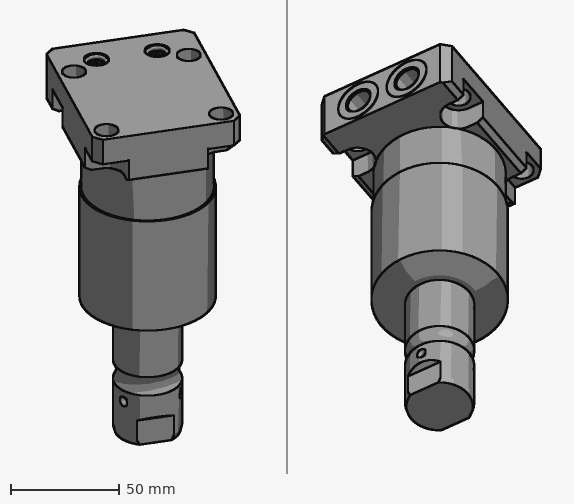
import cadquery as cq
import math

TOTAL_HEIGHT = 180.2

PLATE_LENGTH = 85.5
PLATE_WIDTH = 70.8
PLATE_THICKNESS = 25.5
CORNER_CHAMFER = 4.0
EDGE_CHAMFER_HEIGHT = 1.8
EDGE_CHAMFER_ANGLE = 30.0
PLATE_BOTTOM = TOTAL_HEIGHT - PLATE_THICKNESS
PLATE_RIGHT = PLATE_WIDTH / 2
PLATE_LEFT = PLATE_RIGHT - PLATE_LENGTH

BOLT_SPACING = 55.0
BOLT_HOLE_DIAMETER = 11.0
BOLT_OFFSET = BOLT_SPACING / 2
HEAD_CLEARANCE_RADIUS = 8.5
HEAD_CLEARANCE_DEPTH = 12.3

PORT_SPACING = 26.3
PORT_AXIS_Z = PLATE_BOTTOM + PLATE_THICKNESS / 2
PORT_DIAMETER = 12.0
PORT_DEPTH = 14.2
PORT_MOUTH_DIAMETER = 13.3
PORT_SPOTFACE_DIAMETER = 21.6
PORT_SPOTFACE_DEPTH = 0.2

FEED_SPACING = 29.2
FEED_FROM_LEFT = 14.8
FEED_HOLE_DIAMETER = 2.5
FEED_BOTTOM = 165.5
FEED_X = PLATE_LEFT + FEED_FROM_LEFT
SEAL_OUTER_RADIUS = 5.8
SEAL_SECTION_RADIUS = 1.0
SEAL_BELOW_TOP = 0.2
FEED_POCKET_RADIUS = 3.2
FEED_POCKET_DEPTH = 0.5

NECK_RADIUS = 30.6
BODY_RADIUS = 31.5
BODY_TOP = 129.8
BODY_BOTTOM = 71.2
BODY_CONE_HEIGHT = 3.5
BODY_CONE_ANGLE = 15.0
SPINDLE_RADIUS = 16.0
GROOVE_TOP = 37.0
GROOVE_BOTTOM = 27.0
GROOVE_DEPTH = 1.5
TIP_CHAMFER_HEIGHT = 2.7
TIP_CHAMFER_WIDTH = 0.7

FLAT_TO_AXIS = 13.3
FLAT_HEIGHT = 13.2
FLAT_RUNOUT_HEIGHT = 2.2
DIMPLE_DIAMETER = 5.0
DIMPLE_CONE_ANGLE = 90.0
DIMPLE_Z = 21.3
DIMPLE_COUNT = 3


def make_plate():
    """Block with four clipped corners and three chamfered lower edges."""
    plate = (
        cq.Workplane("XY", origin=((PLATE_LEFT + PLATE_RIGHT) / 2, 0, PLATE_BOTTOM))
        .rect(PLATE_LENGTH, PLATE_WIDTH)
        .extrude(PLATE_THICKNESS)
        .edges("|Z")
        .chamfer(CORNER_CHAMFER)
    )
    chamfer_width = EDGE_CHAMFER_HEIGHT / math.tan(math.radians(EDGE_CHAMFER_ANGLE))
    edge_wedge = (
        cq.Workplane("XZ", origin=(0, PLATE_LENGTH, 0))
        .moveTo(PLATE_RIGHT, PLATE_BOTTOM)
        .lineTo(PLATE_RIGHT, PLATE_BOTTOM + EDGE_CHAMFER_HEIGHT)
        .lineTo(PLATE_RIGHT - chamfer_width, PLATE_BOTTOM)
        .close()
        .extrude(2 * PLATE_LENGTH)
    )
    for turn in (-90, 0, 90):
        plate = plate.cut(edge_wedge.rotate((0, 0, 0), (0, 0, 1), turn))
    return plate


def make_body():
    """Neck, body and grooved spindle turned about the Z axis."""
    cone_bottom = BODY_BOTTOM - BODY_CONE_HEIGHT
    cone_radius = BODY_RADIUS - BODY_CONE_HEIGHT / math.tan(math.radians(BODY_CONE_ANGLE))
    groove_middle = (GROOVE_TOP + GROOVE_BOTTOM) / 2
    return (
        cq.Workplane("XZ")
        .moveTo(0, PLATE_BOTTOM)
        .lineTo(NECK_RADIUS, PLATE_BOTTOM)
        .lineTo(NECK_RADIUS, BODY_TOP)
        .lineTo(BODY_RADIUS, BODY_TOP)
        .lineTo(BODY_RADIUS, BODY_BOTTOM)
        .lineTo(cone_radius, cone_bottom)
        .lineTo(SPINDLE_RADIUS, cone_bottom)
        .lineTo(SPINDLE_RADIUS, GROOVE_TOP)
        .threePointArc((SPINDLE_RADIUS - GROOVE_DEPTH, groove_middle), (SPINDLE_RADIUS, GROOVE_BOTTOM))
        .lineTo(SPINDLE_RADIUS, TIP_CHAMFER_HEIGHT)
        .lineTo(SPINDLE_RADIUS - TIP_CHAMFER_WIDTH, 0)
        .lineTo(0, 0)
        .close()
        .revolve(360, (0, 0, 0), (0, 1, 0))
    )


def make_head_clearance(hole_x, hole_y):
    """Round-ended relief around a bolt hole, open to the nearest plate edges."""
    radius = HEAD_CLEARANCE_RADIUS
    outward = math.copysign(PLATE_WIDTH / 2, hole_y)
    inward = math.copysign(radius, -hole_y)
    lower_face = cq.Workplane("XY", origin=(hole_x, hole_y, PLATE_BOTTOM))
    relief = lower_face.circle(radius).extrude(HEAD_CLEARANCE_DEPTH)
    slot = lower_face.moveTo(-radius, 0).lineTo(radius, 0).lineTo(radius, outward)
    slot = slot.lineTo(-radius, outward).close().extrude(HEAD_CLEARANCE_DEPTH)
    relief = relief.union(slot)
    if hole_x > 0:
        reach = PLATE_WIDTH / 2
        corner = lower_face.moveTo(0, inward).lineTo(reach, inward).lineTo(reach, outward)
        corner = corner.lineTo(0, outward).close().extrude(HEAD_CLEARANCE_DEPTH)
        relief = relief.union(corner)
    return relief


def make_bolt_hole(hole_x, hole_y):
    """Through hole with its head clearance."""
    hole = (
        cq.Workplane("XY", origin=(hole_x, hole_y, PLATE_BOTTOM))
        .circle(BOLT_HOLE_DIAMETER / 2)
        .extrude(PLATE_THICKNESS)
    )
    return hole.union(make_head_clearance(hole_x, hole_y))


def make_port(port_y):
    """Port bore with a countersunk mouth and a shallow spotface."""
    mouth_depth = PORT_SPOTFACE_DEPTH + (PORT_MOUTH_DIAMETER - PORT_DIAMETER) / 2
    return (
        cq.Workplane("XY", origin=(PLATE_LEFT, port_y, PORT_AXIS_Z))
        .lineTo(0, PORT_SPOTFACE_DIAMETER / 2)
        .lineTo(PORT_SPOTFACE_DEPTH, PORT_SPOTFACE_DIAMETER / 2)
        .lineTo(PORT_SPOTFACE_DEPTH, PORT_MOUTH_DIAMETER / 2)
        .lineTo(mouth_depth, PORT_DIAMETER / 2)
        .lineTo(PORT_DEPTH, PORT_DIAMETER / 2)
        .lineTo(PORT_DEPTH, 0)
        .close()
        .revolve(360, (0, 0, 0), (1, 0, 0))
    )


def make_feed(feed_y):
    """Feed hole under a small pocket, in a recess that carries a rounded sealing ring."""
    ring_inner = SEAL_OUTER_RADIUS - 2 * SEAL_SECTION_RADIUS
    ring_middle = SEAL_OUTER_RADIUS - SEAL_SECTION_RADIUS
    ring_crest = -SEAL_BELOW_TOP
    ring_centre = ring_crest - SEAL_SECTION_RADIUS
    recess_floor = ring_centre - SEAL_SECTION_RADIUS
    pocket_floor = recess_floor - FEED_POCKET_DEPTH
    hole_bottom = FEED_BOTTOM - TOTAL_HEIGHT
    return (
        cq.Workplane("XZ", origin=(FEED_X, feed_y, TOTAL_HEIGHT))
        .lineTo(0, hole_bottom)
        .lineTo(FEED_HOLE_DIAMETER / 2, hole_bottom)
        .lineTo(FEED_HOLE_DIAMETER / 2, pocket_floor)
        .lineTo(FEED_POCKET_RADIUS, pocket_floor)
        .lineTo(FEED_POCKET_RADIUS, recess_floor)
        .lineTo(ring_inner, recess_floor)
        .lineTo(ring_inner, ring_centre)
        .threePointArc((ring_middle, ring_crest), (SEAL_OUTER_RADIUS, ring_centre))
        .lineTo(SEAL_OUTER_RADIUS, 0)
        .close()
        .revolve(360, (0, 0, 0), (0, 1, 0))
    )


def make_flat():
    """Cutter for the right-hand wrench flat, with a sloping run-out."""
    return (
        cq.Workplane("XZ", origin=(0, SPINDLE_RADIUS, 0))
        .moveTo(FLAT_TO_AXIS, 0)
        .lineTo(SPINDLE_RADIUS, 0)
        .lineTo(SPINDLE_RADIUS, FLAT_HEIGHT + FLAT_RUNOUT_HEIGHT)
        .lineTo(FLAT_TO_AXIS, FLAT_HEIGHT)
        .close()
        .extrude(2 * SPINDLE_RADIUS)
    )


def make_dimple():
    """Conical dimple cutter on the left side of the spindle."""
    radius = DIMPLE_DIAMETER / 2
    depth = radius / math.tan(math.radians(DIMPLE_CONE_ANGLE / 2))
    return cq.Workplane(
        cq.Solid.makeCone(radius, 0, depth, cq.Vector(-SPINDLE_RADIUS, 0, DIMPLE_Z), cq.Vector(1, 0, 0))
    )


result = make_plate()
for hole_x in (-BOLT_OFFSET, BOLT_OFFSET):
    for hole_y in (-BOLT_OFFSET, BOLT_OFFSET):
        result = result.cut(make_bolt_hole(hole_x, hole_y))
result = result.union(make_body())
for side in (-1, 1):
    result = result.cut(make_port(side * PORT_SPACING / 2))
    result = result.cut(make_feed(side * FEED_SPACING / 2))
for turn in (0, 180):
    result = result.cut(make_flat().rotate((0, 0, 0), (0, 0, 1), turn))
for index in range(DIMPLE_COUNT):
    turn = index * 360 / DIMPLE_COUNT
    result = result.cut(make_dimple().rotate((0, 0, 0), (0, 0, 1), turn))